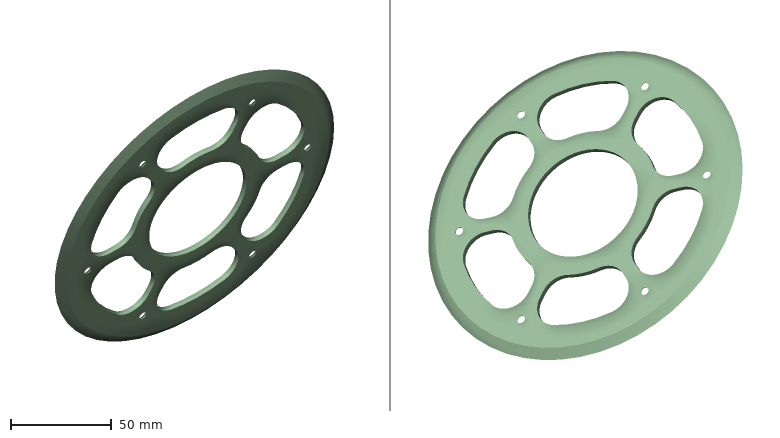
import cadquery as cq
import math

disc_radius = 86.0
thickness = 3.0
bevel_width = 5.3
bore_radius = 30.0

spoke_count = 6
spoke_pitch = 360 / spoke_count
spoke_width = 7.7
window_inner_radius = 40.0
window_outer_radius = 68.0
window_corner_radius = 12.0

screw_circle_radius = 67.6
screw_hole_radius = 2.0
countersink_radius = 4.8
countersink_depth = 2.5


def make_disc():
    """Revolve the bevelled half section about the X axis."""
    half_section = [
        (0, bore_radius),
        (0, disc_radius),
        (thickness, disc_radius - bevel_width),
        (thickness, bore_radius),
    ]
    return cq.Workplane("XY").polyline(half_section).close().revolve(360, (0, 0), (1, 0))


def make_window():
    """Rounded ring sector centred on +Z, its sides parallel to the spokes."""
    half_angle = math.radians(spoke_pitch / 2)

    def side_corner(radius):
        angle = half_angle - math.asin(spoke_width / 2 / radius)
        return radius * math.sin(angle), radius * math.cos(angle)

    inner_y, inner_z = side_corner(window_inner_radius)
    outer_y, outer_z = side_corner(window_outer_radius)
    return (
        cq.Workplane("YZ")
        .moveTo(-inner_y, inner_z)
        .threePointArc((0, window_inner_radius), (inner_y, inner_z))
        .lineTo(outer_y, outer_z)
        .threePointArc((0, window_outer_radius), (-outer_y, outer_z))
        .close()
        .extrude(thickness)
        .edges("|X")
        .fillet(window_corner_radius)
    )


def make_screw_hole():
    """Countersunk hole on the +Y spoke, opening wide at the X = 0 face."""
    half_section = [
        (0, 0),
        (0, countersink_radius),
        (countersink_depth, screw_hole_radius),
        (thickness, screw_hole_radius),
        (thickness, 0),
    ]
    hole = cq.Workplane("XY").polyline(half_section).close().revolve(360, (0, 0), (1, 0))
    return hole.translate((0, screw_circle_radius, 0))


result = make_disc()
window = make_window()
screw_hole = make_screw_hole()
for index in range(spoke_count):
    turn = index * spoke_pitch
    for cutter in (window, screw_hole):
        result = result.cut(cutter.rotate((0, 0, 0), (1, 0, 0), turn))